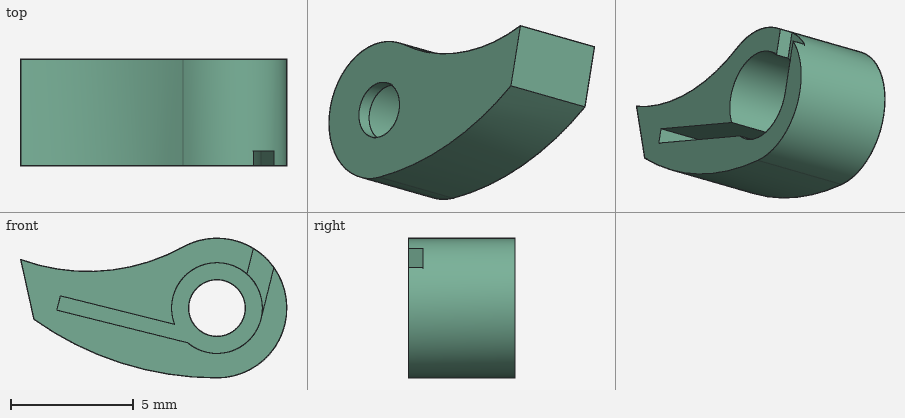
import cadquery as cq
import math

width = 4.35
hub_radius = 2.85
total_length = 10.85
pivot_radius = 1.15
pocket_radius = 1.85
floor_thickness = 0.6
hollow_radius = 8.0
hollow_low_x = -5.25
heel_x = -7.46
heel_z = -0.46
spring_tilt = 14.0
slot_width = 0.6
slot_lower_offset = -1.66
slot_reach = 6.31
notch_width = 1.0
notch_depth = 0.6

pocket_depth = width - floor_thickness
tip_x = hub_radius - total_length
hollow_center_z = math.sqrt((hub_radius + hollow_radius) ** 2 - hollow_low_x ** 2)
heel_rise = heel_z + hub_radius
belly_radius = (heel_x ** 2 + heel_rise ** 2) / (2 * heel_rise)


def hollow_point(x):
    """Point of the concave upper edge at the given X."""
    drop = math.sqrt(hollow_radius ** 2 - (x - hollow_low_x) ** 2)
    return (x, hollow_center_z - drop)


def belly_point(x):
    """Point of the convex lower edge at the given X."""
    return (x, belly_radius - hub_radius - math.sqrt(belly_radius ** 2 - x ** 2))


def extrude_back(sketch, depth):
    """Extrude an XZ sketch from the front face toward +Y."""
    return sketch.extrude(-depth)


def make_body():
    """Lever: round hub running into a curved tail."""
    tangent_x = hollow_low_x * hub_radius / (hub_radius + hollow_radius)
    outline = (
        cq.Workplane("XZ")
        .moveTo(heel_x, heel_z)
        .lineTo(*hollow_point(tip_x))
        .threePointArc(hollow_point(hollow_low_x), hollow_point(tangent_x))
        .threePointArc((hub_radius, 0), (0, -hub_radius))
        .threePointArc(belly_point(heel_x / 2), (heel_x, heel_z))
        .close()
    )
    return extrude_back(outline, width)


def make_round_cut(radius, depth):
    """Cylinder on the pivot axis, entering from the front."""
    return extrude_back(cq.Workplane("XZ").circle(radius), depth)


def make_tilted_cut(along_min, along_max, across_min, across_max, depth):
    """Box entering from the front, turned about the pivot axis by the spring tilt."""
    size_along = along_max - along_min
    size_across = across_max - across_min
    sketch = (
        cq.Workplane("XZ")
        .center((along_min + along_max) / 2, (across_min + across_max) / 2)
        .rect(size_along, size_across)
    )
    return extrude_back(sketch, depth).rotate((0, 0, 0), (0, 1, 0), spring_tilt)


def make_leg_slot():
    """Slot for the long spring leg, running from the tail into the pocket."""
    slot_upper_offset = slot_lower_offset + slot_width
    slot_end = -math.sqrt(pocket_radius ** 2 - slot_lower_offset ** 2)
    return make_tilted_cut(-slot_reach, slot_end, slot_lower_offset, slot_upper_offset, pocket_depth)


def make_exit_notch():
    """Shallow notch from the pocket out through the hub, one wall tangent to the pocket."""
    return make_tilted_cut(pocket_radius - notch_width, pocket_radius, 0, 2 * hub_radius, notch_depth)


result = (
    make_body()
    .cut(make_round_cut(pivot_radius, width))
    .cut(make_round_cut(pocket_radius, pocket_depth))
    .cut(make_leg_slot())
    .cut(make_exit_notch())
)